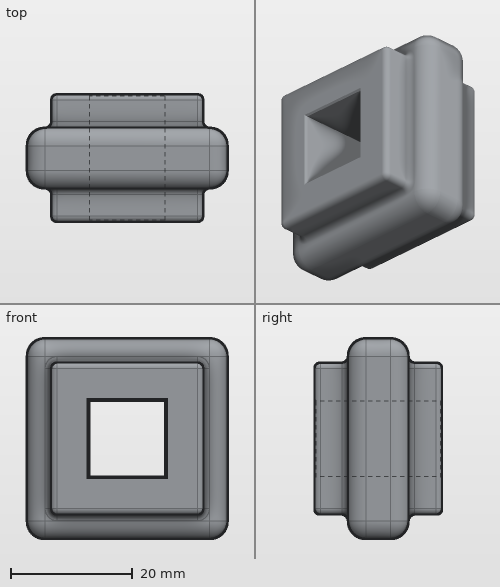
import cadquery as cq

collar_side = 33.0
collar_thickness = 10.0
collar_round = 3.0
sleeve_side = 24.98
sleeve_length = 21.0
edge_round = 1.0
root_fillet = 1.0
bore_side = 12.4
bore_chamfer = 0.3


def centred_block(side, thickness):
    return cq.Workplane("XY").box(side, thickness, side)


def make_collar():
    return centred_block(collar_side, collar_thickness).edges().fillet(collar_round)


def make_sleeve():
    return centred_block(sleeve_side, sleeve_length).edges().fillet(edge_round)


def fillet_roots(body):
    """Blend the sleeve into both flat faces of the collar."""
    margin = 0.03
    reach = sleeve_side / 2 + margin
    for root_y in (-collar_thickness / 2, collar_thickness / 2):
        root_edges = cq.selectors.BoxSelector(
            (-reach, root_y - margin, -reach),
            (reach, root_y + margin, reach),
            boundingbox=True,
        )
        body = body.edges(root_edges).fillet(root_fillet)
    return body


def cut_bore(body):
    """Cut the square through bore, then chamfer its mouth at each end."""
    body = body.cut(centred_block(bore_side, sleeve_length))
    for end_face in ("<Y", ">Y"):
        body = body.faces(end_face).wires(cq.selectors.AreaNthSelector(0)).chamfer(bore_chamfer)
    return body


result = cut_bore(fillet_roots(make_collar().union(make_sleeve())))